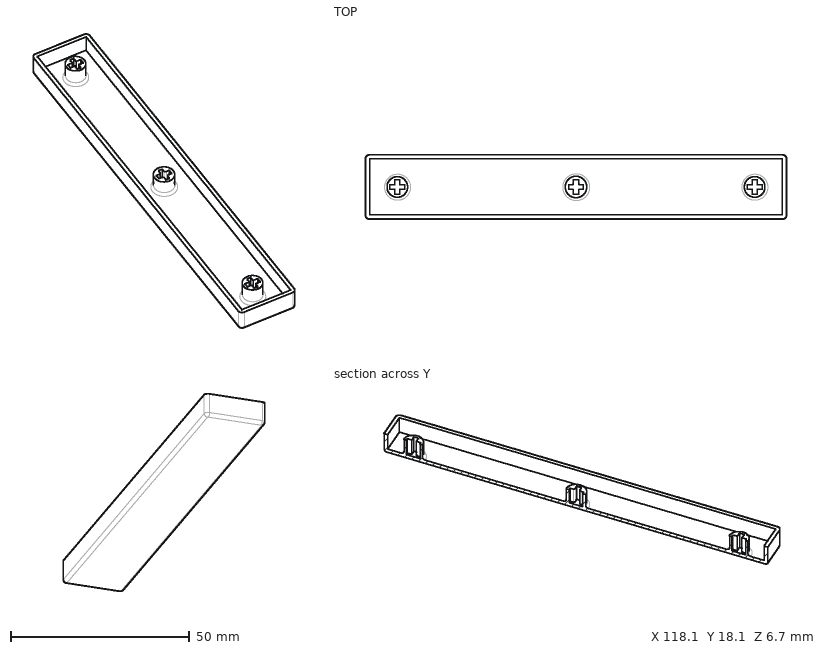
import cadquery as cq

length = 118.1
width = 18.1
height = 6.7
wall = 1.2
floor_thickness = 1.4
corner_radius = 1.2
bottom_fillet = 0.99

end_stem_diameter = 5.8
middle_stem_diameter = 6.0
stem_spacing = 50.0
end_stem_height = height - floor_thickness
middle_stem_drop = 0.5
middle_stem_height = end_stem_height - middle_stem_drop
stem_foot_fillet = 0.75

cross_span = 4.1
slot_along_x = 1.2
slot_along_y = 1.4
cross_corner_fillet = 0.5


def make_tray():
    """Open-topped box with rounded corners and a rounded underside edge."""
    body = cq.Workplane("XY").box(length, width, height, centered=(True, True, False))
    body = body.edges("|Z").fillet(corner_radius)
    body = body.faces("<Z").edges().fillet(bottom_fillet)
    cavity = (
        cq.Workplane("XY", origin=(0, 0, floor_thickness))
        .rect(length - 2 * wall, width - 2 * wall)
        .extrude(height - floor_thickness)
    )
    return body.cut(cavity)


def make_stem(x, diameter, stem_height):
    """Solid post with a flared foot where it meets the floor."""
    radius = diameter / 2
    foot_radius = radius + stem_foot_fillet
    arc_offset = stem_foot_fillet * (1 - 0.5 ** 0.5)
    profile = (
        cq.Workplane("XZ")
        .lineTo(foot_radius, 0)
        .threePointArc((radius + arc_offset, arc_offset), (radius, stem_foot_fillet))
        .lineTo(radius, stem_height)
        .lineTo(0, stem_height)
        .close()
    )
    stem = profile.revolve(360, (0, 0, 0), (0, 1, 0))
    return stem.translate((x, 0, floor_thickness))


def make_socket(x, rounded):
    """Cross-shaped cutter reaching from the floor to the stem top."""
    base = cq.Workplane("XY", origin=(x, 0, floor_thickness))
    arm_x = base.rect(cross_span, slot_along_x).extrude(end_stem_height)
    arm_y = base.rect(slot_along_y, cross_span).extrude(end_stem_height)
    cross = arm_x.union(arm_y)
    if rounded:
        half_x = slot_along_y / 2
        half_y = slot_along_x / 2
        inner_corners = cq.selectors.BoxSelector(
            (x - 1.1 * half_x, -1.1 * half_y, floor_thickness),
            (x + 1.1 * half_x, 1.1 * half_y, height),
        )
        cross = cross.edges("|Z").edges(inner_corners).fillet(cross_corner_fillet)
    return cross


result = make_tray()
for stem_x in (-stem_spacing, stem_spacing):
    result = result.union(make_stem(stem_x, end_stem_diameter, end_stem_height))
    result = result.cut(make_socket(stem_x, rounded=False))
result = result.union(make_stem(0, middle_stem_diameter, middle_stem_height))
result = result.cut(make_socket(0, rounded=True))